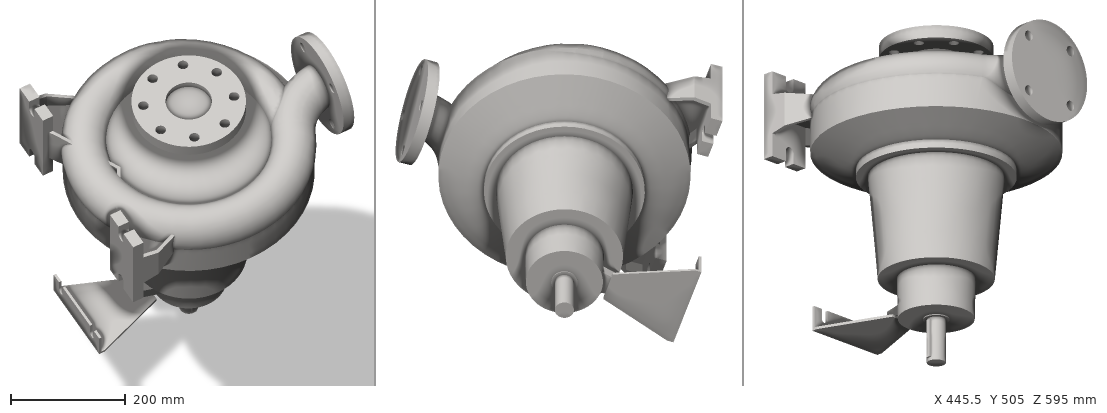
import cadquery as cq
import math


OVERALL_WIDTH = 445.5
TOP_Z = 125.0
OVERALL_HEIGHT = 595
SHAFT_END_Z = TOP_Z - OVERALL_HEIGHT
FRONT_Y = -225.5
BACK_Y = 279.5

TUBE_RADIUS = 40.5
RING_RADIUS = OVERALL_WIDTH / 2 - TUBE_RADIUS
TONGUE_RADIUS = 28.5
TAPER_EXPONENT = 1.5
TAPER_SECTIONS = 5

BEND_RADIUS = (BACK_Y**2 - RING_RADIUS**2) / (2 * RING_RADIUS)
JOINT_ANGLE = math.degrees(math.atan2(BACK_Y, BEND_RADIUS))

SUCTION_DIAMETER = 200.0
SUCTION_THICKNESS = 23.0
NECK_RADIUS = 47.5
BORE_DIAMETER = 81.0
BORE_DEPTH = 12.5
SUCTION_BOLTS = 8
SUCTION_BOLT_CIRCLE = 159.5

DISCHARGE_DIAMETER = 185.5
DISCHARGE_THICKNESS = 21.5
DISCHARGE_BOLTS = 4
DISCHARGE_BOLT_CIRCLE = 145.0
BOLT_HOLE_DIAMETER = 18.5

COVER_TOP_Z = 34.0
COVER_EDGE_Z = 5.5
CASING_TOP_Z = 2.0
CASING_BOTTOM_Z = -75.5
CASING_RADIUS = 220
BACKPLATE_TOP_Z = -106.0
BACK_CONE_RADIUS = 138.5
BACKPLATE_RADIUS = 140.5
BACKPLATE_BOTTOM_Z = -121.5
FRAME_TOP_RADIUS = 119.5
FRAME_BOTTOM_RADIUS = 102.5
FRAME_BOTTOM_Z = -312.5
BEARING_TOP_RADIUS = 69.0
BEARING_BOTTOM_RADIUS = 67.0
BEARING_BOTTOM_Z = -387.5
COLLAR_RADIUS = 23.0
COLLAR_BOTTOM_Z = -389.0
SHAFT_RADIUS = 16.5

KEY_WIDTH = 8.5
KEY_REACH = 20.0
KEY_TOP_Z = -394.0
KEY_LENGTH = 70.0

FOOT_OUTER_X = 200.0
FOOT_WIDTH = 81.5
FOOT_INNER_X = FOOT_OUTER_X - FOOT_WIDTH
FOOT_HEIGHT = 159.5
FOOT_THICKNESS = 21.0
FOOT_BACK_Y = FRONT_Y + FOOT_THICKNESS
FOOT_SLOT_X = 157.0
FOOT_SLOT_WIDTH = 18.5
FOOT_SLOT_DEPTH = 28.5

OUTER_RIB_THICKNESS = 7.0
RIB_HALF_HEIGHT = 37.0
RIB_TAPER = 0.2
RIB_BEND_Y = -174.5
RIB_END = (175.0, -127.0)
INNER_RIB_ANGLE = 30
INNER_RIB_THICKNESS = 6.5
INNER_RIB_APEX_Y = -137
WEB_THICKNESS = 7.0

BRACKET_WIDTH = 160.0
BRACKET_BOTTOM_Z = -368.5
BRACKET_HEIGHT = 45.0
SHEET_THICKNESS = 5.0
SHEET_CORNER_Y = -214
SHEET_NARROW_Y = -80.5
SHEET_NARROW_WIDTH = 56.0
BRACKET_SLOT_X = 55.0
BRACKET_SLOT_WIDTH = 13.5
BRACKET_SLOT_DEPTH = 25.0
LUG_HEIGHT = 18.5
LUG_END_Y = -112.5
LUG_END_WIDTH = 19.0
LUG_ROOT_Y = -63.5
LUG_ROOT_WIDTH = 46.5


def plan_prism(points, bottom, height):
    """Vertical prism on an XY outline."""
    return cq.Workplane("XY").workplane(offset=bottom).polyline(points).close().extrude(height)


def front_slot(x, open_z, depth, width, direction):
    """Round-ended slot through Y, running from an open edge in direction +1 or -1 along Z."""
    radius = width / 2
    straight_end = open_z + direction * (depth - radius)
    tip = open_z + direction * depth
    return (
        cq.Workplane("XZ", origin=(0, BACK_Y, 0))
        .moveTo(x - radius, open_z)
        .lineTo(x - radius, straight_end)
        .threePointArc((x, tip), (x + radius, straight_end))
        .lineTo(x + radius, open_z)
        .close()
        .extrude(BACK_Y - FRONT_Y)
    )


def turned_body():
    """Casing, frame, bearing housing and shaft turned about Z."""
    profile = [
        (0, TOP_Z - SUCTION_THICKNESS),
        (NECK_RADIUS, TOP_Z - SUCTION_THICKNESS),
        (NECK_RADIUS, COVER_TOP_Z),
        (RING_RADIUS, COVER_EDGE_Z),
        (RING_RADIUS, CASING_TOP_Z),
        (CASING_RADIUS, CASING_TOP_Z),
        (CASING_RADIUS, CASING_BOTTOM_Z),
        (BACK_CONE_RADIUS, BACKPLATE_TOP_Z),
        (BACKPLATE_RADIUS, BACKPLATE_TOP_Z),
        (BACKPLATE_RADIUS, BACKPLATE_BOTTOM_Z),
        (FRAME_TOP_RADIUS, BACKPLATE_BOTTOM_Z),
        (FRAME_BOTTOM_RADIUS, FRAME_BOTTOM_Z),
        (BEARING_TOP_RADIUS, FRAME_BOTTOM_Z),
        (BEARING_BOTTOM_RADIUS, BEARING_BOTTOM_Z),
        (COLLAR_RADIUS, BEARING_BOTTOM_Z),
        (COLLAR_RADIUS, COLLAR_BOTTOM_Z),
        (SHAFT_RADIUS, COLLAR_BOTTOM_Z),
        (SHAFT_RADIUS, SHAFT_END_Z),
        (0, SHAFT_END_Z),
    ]
    return cq.Workplane("XZ").polyline(profile).close().revolve(360, (0, 0, 0), (0, 1, 0))


def suction_flange():
    flange = (
        cq.Workplane("XY", origin=(0, 0, TOP_Z - SUCTION_THICKNESS))
        .circle(SUCTION_DIAMETER / 2)
        .extrude(SUCTION_THICKNESS)
    )
    half_step = 180 / SUCTION_BOLTS
    return (
        flange.faces(">Z").workplane()
        .polarArray(SUCTION_BOLT_CIRCLE / 2, half_step, 360, SUCTION_BOLTS)
        .hole(BOLT_HOLE_DIAMETER)
        .faces(">Z").workplane()
        .hole(BORE_DIAMETER, BORE_DEPTH)
    )


def discharge_flange():
    half_step = 180 / DISCHARGE_BOLTS
    holes = (
        cq.Workplane("XZ", origin=(0, BACK_Y, 0))
        .polarArray(DISCHARGE_BOLT_CIRCLE / 2, half_step, 360, DISCHARGE_BOLTS)
        .circle(BOLT_HOLE_DIAMETER / 2)
        .extrude(DISCHARGE_THICKNESS)
    )
    return (
        cq.Workplane("XZ", origin=(0, BACK_Y, 0))
        .circle(DISCHARGE_DIAMETER / 2)
        .extrude(DISCHARGE_THICKNESS)
        .cut(holes)
    )


def volute_ring():
    """Full-size tube from the joint with the discharge bend, clockwise round to the -X side."""
    return (
        cq.Workplane("XZ")
        .center(-RING_RADIUS, 0)
        .circle(TUBE_RADIUS)
        .revolve(180 + JOINT_ANGLE, (RING_RADIUS, 0, 0), (RING_RADIUS, 1, 0))
    )


def discharge_bend():
    """Tube bending back from the ring to the discharge flange."""
    return (
        cq.Workplane("XZ", origin=(0, BACK_Y, 0))
        .circle(TUBE_RADIUS)
        .revolve(JOINT_ANGLE, (BEND_RADIUS, 0, 0), (BEND_RADIUS, 1, 0))
    )


def volute_taper():
    """Tube shrinking from the -X side to the tongue, slowly at first, with its inner edge on one circle."""
    inner_edge = RING_RADIUS - TUBE_RADIUS
    sections = []
    for index in range(TAPER_SECTIONS):
        fraction = index / (TAPER_SECTIONS - 1)
        angle = math.radians(180 - fraction * (180 - JOINT_ANGLE))
        radius = TUBE_RADIUS + fraction**TAPER_EXPONENT * (TONGUE_RADIUS - TUBE_RADIUS)
        reach = inner_edge + radius
        center = cq.Vector(reach * math.cos(angle), reach * math.sin(angle), 0)
        normal = cq.Vector(math.sin(angle), -math.cos(angle), 0)
        sections.append(cq.Wire.makeCircle(radius, center, normal))
    return cq.Workplane(cq.Solid.makeLoft(sections))


def shaft_key():
    return cq.Workplane("XY", origin=(0, 0, KEY_TOP_Z - KEY_LENGTH)).box(
        KEY_REACH, KEY_WIDTH, KEY_LENGTH, centered=(False, True, False)
    )


def foot_plate():
    """Slotted mounting plate on the +X side."""
    half_height = FOOT_HEIGHT / 2
    plate = cq.Workplane("XY", origin=(FOOT_INNER_X, FRONT_Y, -half_height)).box(
        FOOT_WIDTH, FOOT_THICKNESS, FOOT_HEIGHT, centered=False
    )
    for end in (-1, 1):
        plate = plate.cut(front_slot(FOOT_SLOT_X, end * half_height, FOOT_SLOT_DEPTH, FOOT_SLOT_WIDTH, -end))
    return plate


def foot_ribs():
    """Bent outer rib, inner rib and web joining the +X foot to the casing."""
    end_x, end_y = RIB_END
    slope = math.tan(math.radians(INNER_RIB_ANGLE))
    inner_rib_depth = INNER_RIB_THICKNESS / math.cos(math.radians(INNER_RIB_ANGLE))
    foot_rib_y = INNER_RIB_APEX_Y - slope * FOOT_INNER_X
    inner_rib_end_x = (INNER_RIB_APEX_Y - FOOT_BACK_Y) / slope
    full_bottom = -RIB_HALF_HEIGHT
    full_height = 2 * RIB_HALF_HEIGHT

    outer_rib = plan_prism(
        [
            (FOOT_OUTER_X, FOOT_BACK_Y),
            (FOOT_OUTER_X, RIB_BEND_Y),
            (end_x, end_y),
            (end_x - OUTER_RIB_THICKNESS, end_y),
            (FOOT_OUTER_X - OUTER_RIB_THICKNESS, RIB_BEND_Y),
            (FOOT_OUTER_X - OUTER_RIB_THICKNESS, FOOT_BACK_Y),
        ],
        full_bottom,
        full_height,
    )
    inner_rib = plan_prism(
        [
            (0, INNER_RIB_APEX_Y),
            (inner_rib_end_x, FOOT_BACK_Y),
            (FOOT_INNER_X, FOOT_BACK_Y),
            (FOOT_INNER_X, foot_rib_y - inner_rib_depth),
            (0, INNER_RIB_APEX_Y - inner_rib_depth),
        ],
        full_bottom,
        full_height,
    )
    end_half_height = RIB_HALF_HEIGHT - RIB_TAPER * (end_y - FOOT_BACK_Y)
    taper_envelope = (
        cq.Workplane("YZ")
        .polyline(
            [
                (FRONT_Y, RIB_HALF_HEIGHT),
                (FOOT_BACK_Y, RIB_HALF_HEIGHT),
                (end_y, end_half_height),
                (end_y, -end_half_height),
                (FOOT_BACK_Y, -RIB_HALF_HEIGHT),
                (FRONT_Y, -RIB_HALF_HEIGHT),
            ]
        )
        .close()
        .extrude(FOOT_OUTER_X)
    )
    web = plan_prism(
        [
            (inner_rib_end_x, FOOT_BACK_Y),
            (FOOT_OUTER_X - OUTER_RIB_THICKNESS, FOOT_BACK_Y),
            (FOOT_OUTER_X - OUTER_RIB_THICKNESS, RIB_BEND_Y),
            (end_x - OUTER_RIB_THICKNESS, end_y),
            (0, INNER_RIB_APEX_Y),
        ],
        -WEB_THICKNESS / 2,
        WEB_THICKNESS,
    )
    return outer_rib.union(inner_rib).intersect(taper_envelope).union(web)


def support_bracket():
    """Bent sheet with two slots, hung from a lug on the bearing housing."""
    half_width = BRACKET_WIDTH / 2
    half_narrow = SHEET_NARROW_WIDTH / 2
    sheet = plan_prism(
        [
            (-half_width, FRONT_Y),
            (half_width, FRONT_Y),
            (half_width, SHEET_CORNER_Y),
            (half_narrow, SHEET_NARROW_Y),
            (-half_narrow, SHEET_NARROW_Y),
            (-half_width, SHEET_CORNER_Y),
        ],
        BRACKET_BOTTOM_Z,
        SHEET_THICKNESS,
    )
    upright = cq.Workplane("XY", origin=(-half_width, FRONT_Y, BRACKET_BOTTOM_Z)).box(
        BRACKET_WIDTH, SHEET_THICKNESS, BRACKET_HEIGHT, centered=False
    )
    top_z = BRACKET_BOTTOM_Z + BRACKET_HEIGHT
    for side in (-1, 1):
        slot = front_slot(side * BRACKET_SLOT_X, top_z, BRACKET_SLOT_DEPTH, BRACKET_SLOT_WIDTH, -1)
        upright = upright.cut(slot)
    lug = plan_prism(
        [
            (-LUG_ROOT_WIDTH / 2, LUG_ROOT_Y),
            (-LUG_END_WIDTH / 2, LUG_END_Y),
            (LUG_END_WIDTH / 2, LUG_END_Y),
            (LUG_ROOT_WIDTH / 2, LUG_ROOT_Y),
        ],
        BRACKET_BOTTOM_Z + SHEET_THICKNESS,
        LUG_HEIGHT,
    )
    return sheet.union(upright).union(lug)


foot = foot_plate().union(foot_ribs())

result = (
    turned_body()
    .union(volute_ring())
    .union(volute_taper())
    .union(discharge_bend())
    .union(suction_flange())
    .union(discharge_flange())
    .union(shaft_key())
    .union(foot)
    .union(foot.mirror("YZ"))
    .union(support_bracket())
)